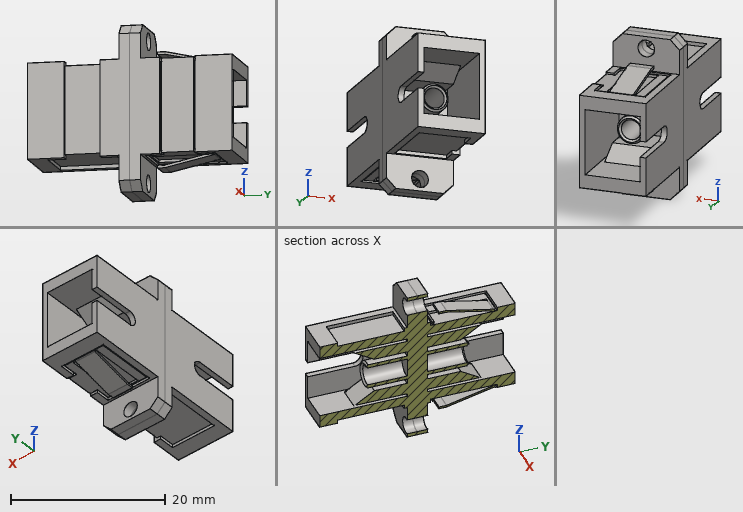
import cadquery as cq


length = 27.28
half_length = length / 2
width = 9.28
height = 12.75
side_wall = 0.82
socket_width = width - 2 * side_wall
socket_height = 8.98

flange_height = 22.05
flange_half = 1.45
flange_chamfer = 1.3
screw_hole_diameter = 2.3
screw_hole_z = 9.38

slot_width = 2.2
slot_tip_y = 5.95

latch_width = 5.9
latch_inner_z = 2.45
latch_outer_z = 4.17
latch_tip_y = 8.87
latch_ramp_end_y = 6.03

sleeve_radius = 1.9
bore_radius = 1.36
sleeve_tip_y = 7.2
sleeve_bevel = (sleeve_radius - bore_radius) / 2

channel_depth = 0.5
channel_x = -0.04
channel_width = 7.1
channel_near_y = 1.85
channel_far_y = 11.13
channel_y = (channel_near_y + channel_far_y) / 2
channel_length = channel_far_y - channel_near_y
neck_y = 6.35
neck_length = 4.75
floor_x = width / 2 - channel_depth
floor_z = height / 2 - channel_depth

clip_gap = 0.26
clip_thickness = 0.35
clip_width = channel_width - 2 * clip_gap
clip_length = channel_length - 2 * clip_gap
clip_neck_length = neck_length - 2 * clip_gap
clip_outer_x = floor_x + clip_thickness
clip_outer_z = floor_z + clip_thickness
window_width = 3.98
window_near_y = 2.37
window_far_y = 10.58
tongue_width = 3.3
tongue_tip_y = 3.0
tongue_bend_y = 4.05
tongue_rise = 1.45


def block(x_range, y_range, z_range):
    """Box between the given limits on each axis."""
    (x0, x1), (y0, y1), (z0, z1) = x_range, y_range, z_range
    return cq.Workplane("XY").box(x1 - x0, y1 - y0, z1 - z0, centered=False).translate((x0, y0, z0))


def centred_range(middle, size):
    """Lower and upper limit of a span about its middle."""
    return middle - size / 2, middle + size / 2


def side_profile(points, x_middle, x_size):
    """Solid from a (Y, Z) outline, extruded along X about x_middle."""
    return cq.Workplane("YZ", origin=(x_middle, 0, 0)).polyline(points).close().extrude(x_size / 2, both=True)


def with_mirror_below(shape):
    """The shape joined with its mirror image in the XY plane."""
    return shape.union(shape.mirror("XY"))


def make_channel():
    """Space cut into the top, +X side and bottom for the clip, on the +Y half."""
    across = centred_range(channel_x, channel_width)
    along = (channel_near_y, channel_far_y)
    neck_along = centred_range(neck_y, neck_length)
    top_pocket = block(across, along, (floor_z, height / 2))
    top_neck = block((channel_x, width / 2), neck_along, (floor_z, height / 2))
    side_groove = block((floor_x, width / 2), neck_along, (-height / 2, height / 2))
    return with_mirror_below(top_pocket.union(top_neck)).union(side_groove)


def make_flange():
    """The +Y half of the chamfered mounting flange with its two screw holes."""
    flange = block(centred_range(0, width), (0, flange_half), centred_range(0, flange_height))
    flange = flange.edges("|Y").chamfer(flange_chamfer)
    holes = (
        cq.Workplane("XZ")
        .pushPoints([(0, screw_hole_z), (0, -screw_hole_z)])
        .circle(screw_hole_diameter / 2)
        .extrude(-flange_half)
    )
    return flange.cut(holes)


def make_key_slot():
    """Open-ended slot with a round tip through the -X wall."""
    tip_centre_y = slot_tip_y + slot_width / 2
    profile = (
        cq.Workplane("YZ", origin=(-width / 2, 0, 0))
        .moveTo(half_length, slot_width / 2)
        .lineTo(tip_centre_y, slot_width / 2)
        .threePointArc((slot_tip_y, 0), (tip_centre_y, -slot_width / 2))
        .lineTo(half_length, -slot_width / 2)
        .close()
    )
    return profile.extrude(side_wall)


def make_sleeve():
    """Tube on the socket floor whose end wall is bevelled to a sharp rim."""
    rim_radius = sleeve_radius - sleeve_bevel
    bevel_start_y = sleeve_tip_y - sleeve_bevel
    profile = [
        (bore_radius, flange_half),
        (sleeve_radius, flange_half),
        (sleeve_radius, bevel_start_y),
        (rim_radius, sleeve_tip_y),
        (bore_radius, bevel_start_y),
    ]
    return cq.Workplane("XY").polyline(profile).close().revolve(360, (0, 0, 0), (0, 1, 0))


def make_latches():
    """Upper and lower latch arms with ramps that rise towards the sleeve."""
    profile = [
        (flange_half, latch_outer_z),
        (latch_tip_y, latch_outer_z),
        (latch_ramp_end_y, latch_inner_z),
        (flange_half, latch_inner_z),
    ]
    return with_mirror_below(side_profile(profile, 0, latch_width))


def make_housing():
    """Both halves joined at the Y = 0 plane, where the seam line is kept."""
    half = block(centred_range(0, width), (0, half_length), centred_range(0, height))
    half = half.union(make_flange())
    socket = block(
        centred_range(0, socket_width), (flange_half, half_length), centred_range(0, socket_height)
    )
    half = half.cut(socket).cut(make_key_slot()).cut(make_channel())
    half = half.union(make_sleeve()).union(make_latches())
    return half.union(half.mirror("XZ"), clean=False)


def make_clip_plate():
    """Top plate of the clip: a window, a tongue bent up from it and a neck to the +X side."""
    thickness = (floor_z, clip_outer_z)
    plate = block(centred_range(channel_x, clip_width), centred_range(channel_y, clip_length), thickness)
    neck = block((channel_x, clip_outer_x), centred_range(neck_y, clip_neck_length), thickness)
    window = block(centred_range(channel_x, window_width), (window_near_y, window_far_y), thickness)
    return plate.union(neck).cut(window).union(make_tongue())


def make_tongue():
    """Spring tongue rising from the far end of the window to a flat tip."""
    tip_bottom_z = floor_z + tongue_rise
    tip_top_z = clip_outer_z + tongue_rise
    profile = [
        (window_far_y, floor_z),
        (tongue_bend_y, tip_bottom_z),
        (tongue_tip_y, tip_bottom_z),
        (tongue_tip_y, tip_top_z),
        (tongue_bend_y, tip_top_z),
        (window_far_y, clip_outer_z),
    ]
    return side_profile(profile, channel_x, tongue_width)


def make_clip():
    """Top and bottom plates joined by a strip along the +X side."""
    side_strip = block(
        (floor_x, clip_outer_x),
        centred_range(neck_y, clip_neck_length),
        (-clip_outer_z, clip_outer_z),
    )
    return with_mirror_below(make_clip_plate()).union(side_strip)


housing = make_housing()
clip = make_clip()

result = cq.Compound.makeCompound([housing.solids().val(), clip.solids().val()])